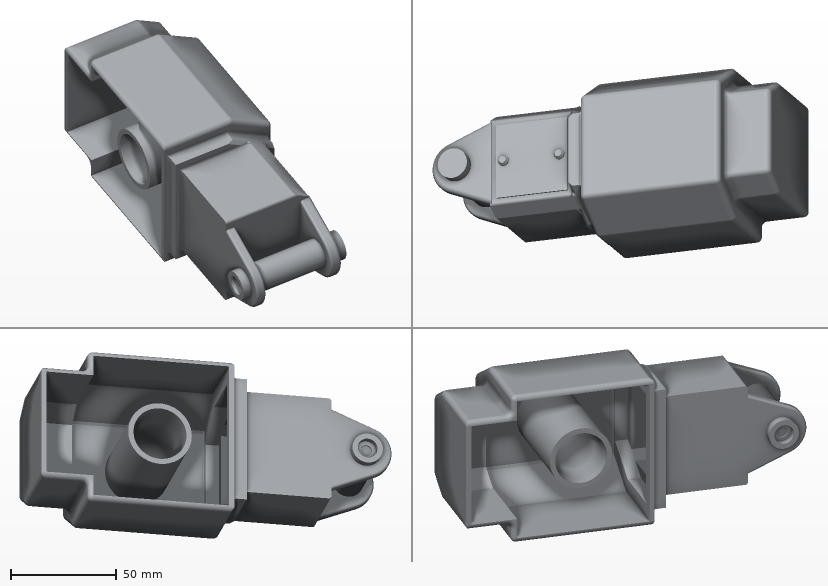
import cadquery as cq
import math

LENGTH = 171.5
WALL = 2.5
EDGE_ROUND = 2.5
SLOPE = math.radians(30)

BODY_START = 22.8
BODY_END = 93.8
COLLAR_END = 100.3
BOX_END = 142.1

HEAD_SECTION = (0.0, 51.8, 28.1, 39.0)
BODY_SECTION = (0.0, 59.5, 38.0, 37.4)
COLLAR_SECTION = (2.5, 56.7, 30.7, 34.8)
BOX_FRONT = 5.8
BOX_BACK = 51.6
BOX_HALF_HEIGHT = 25.5
BOX_SLOPE_START = COLLAR_SECTION[3] + (COLLAR_SECTION[2] - BOX_HALF_HEIGHT) / math.tan(SLOPE)
BOX_SECTION = (BOX_FRONT, BOX_BACK, BOX_HALF_HEIGHT, BOX_SLOPE_START)

COLLAR_COVE = 1.4
COLLAR_CHAMFER = 1.7
BOX_COVE = 1.2
BOX_EDGE_ROUND = 1.4
FLOOR_CHAMFER = 0.9

TUBE_X = 58.5
TUBE_FRONT = 4.0
TUBE_RADIUS = 15.5
TUBE_BORE_RADIUS = 12.9
BOWL_FLAT_RADIUS = 1.4

LUG_TIP_RADIUS = 12.7
LUG_ROOT_HALF = 20.4
LUG_ROUND = 1.2
BACK_LUG_OUTER_ROUND = 2.0
LUG_OVERLAP = 1.2
FRONT_LUG_THICKNESS = 5.0
BACK_LUG_THICKNESS = 6.0
PIN_X = LENGTH - LUG_TIP_RADIUS
PIN_FRONT = 1.5
PIN_BACK = 58.0
PIN_RADIUS = 7.4
PIN_COUNTERBORE_RADIUS = 4.8
PIN_COUNTERBORE_DEPTH = 3.5
PIN_HOLE_RADIUS = 2.7
PIN_HOLE_DEPTH = 6.9

COVER_START = 102.7
COVER_END = 138.5
COVER_HALF_HEIGHT = 18.2
COVER_THICKNESS = 1.0
COVER_BACK = BOX_BACK + COVER_THICKNESS
SCREW_STATIONS = (106.5, 134.8)
SCREW_RADIUS = 2.5
SCREW_TOP_RADIUS = 1.7
SCREW_RIM_HEIGHT = 0.9
SCREW_HEIGHT = 2.2


def inset(section, distance, open_front=False):
    """Move every side of a cross-section inward, optionally leaving the front in place."""
    front, back, half, slope_start = section
    new_front = front if open_front else front + distance
    new_slope_start = slope_start - distance * math.tan(SLOPE / 2)
    return (new_front, back - distance, half - distance, new_slope_start)


def prism(section, start, end):
    """Extrude a cross-section along X."""
    front, back, half, slope_start = section
    back_half = half - (back - slope_start) * math.tan(SLOPE)
    outline = [
        (front, -half),
        (slope_start, -half),
        (back, -back_half),
        (back, back_half),
        (slope_start, half),
        (front, half),
    ]
    return cq.Workplane("YZ", origin=(start, 0, 0)).polyline(outline).close().extrude(end - start)


def cylinder(x, start, end, radius):
    """Make a cylinder along Y, centred on Z = 0."""
    return cq.Workplane("XZ", origin=(x, start, 0)).circle(radius).extrude(start - end)


def edges_at(x, section):
    """Select the edges at one station along X that lie within a cross-section."""
    front, back, half, _ = section
    margin = 0.2
    low = (x - margin, front - margin, -half - margin)
    high = (x + margin, back + margin, half + margin)
    return cq.selectors.BoxSelector(low, high)


def block(section, start, end):
    """Rectangular bounding block of a cross-section."""
    front, back, half, _ = section
    outline = cq.Workplane("YZ", origin=(start, (front + back) / 2, 0)).rect(back - front, 2 * half)
    return outline.extrude(end - start)


def make_outer_shell():
    """Head and body with rounded edges; the two end edges of the open front stay sharp."""
    shell = prism(HEAD_SECTION, 0, BODY_END).union(prism(BODY_SECTION, BODY_START, BODY_END))
    front_end_edges = shell.faces("<Y").edges("|Z and (<X or >X)")
    kept_sharp = [edge.Center().toTuple() for edge in front_end_edges.vals()]
    rounded = [edge for edge in shell.edges().vals() if edge.Center().toTuple() not in kept_sharp]
    return shell.newObject(rounded).fillet(EDGE_ROUND)


def make_collar():
    """Collar with chamfered sloped end edges and a cove against the flat end of the body."""
    collar = prism(COLLAR_SECTION, BODY_END - WALL, COLLAR_END)
    collar = collar.faces(">X").edges("not(|Y or |Z)").chamfer(COLLAR_CHAMFER)
    collar = collar.union(prism(BODY_SECTION, BODY_END - WALL, BODY_END))
    collar = collar.edges(edges_at(BODY_END, COLLAR_SECTION)).fillet(COLLAR_COVE)
    return collar.intersect(prism(inset(BODY_SECTION, EDGE_ROUND, True), BODY_END - WALL, COLLAR_END))


def make_box():
    """Box with rounded +X and sloped edges, flared by a cove where it meets the collar."""
    box = prism(BOX_SECTION, COLLAR_END - COLLAR_CHAMFER - WALL, BOX_END)
    end_edges = box.faces(">X").edges("|Y").vals()
    slope_edges = box.edges("|X").edges("not <Y").vals()
    box = box.newObject(end_edges + slope_edges).fillet(BOX_EDGE_ROUND)
    flare = block(COLLAR_SECTION, COLLAR_END - WALL, COLLAR_END)
    flare = flare.union(block(BOX_SECTION, COLLAR_END - WALL, COLLAR_END + 2 * BOX_COVE))
    flare = flare.edges(edges_at(COLLAR_END, BOX_SECTION)).fillet(BOX_COVE)
    flare = flare.intersect(prism(COLLAR_SECTION, COLLAR_END, COLLAR_END + BOX_COVE))
    return box.union(flare)


def make_lug(front, thickness, back_round):
    """Tapered lug whose straight sides run tangent into a round tip."""
    reach = PIN_X - BOX_END
    to_root = math.pi - math.atan2(LUG_ROOT_HALF, reach)
    tangent_angle = to_root - math.acos(LUG_TIP_RADIUS / math.hypot(reach, LUG_ROOT_HALF))
    tangent_x = PIN_X + LUG_TIP_RADIUS * math.cos(tangent_angle)
    tangent_z = LUG_TIP_RADIUS * math.sin(tangent_angle)
    root_x = BOX_END - LUG_OVERLAP
    lug = (
        cq.Workplane("XZ", origin=(0, front, 0))
        .moveTo(root_x, -LUG_ROOT_HALF)
        .lineTo(BOX_END, -LUG_ROOT_HALF)
        .lineTo(tangent_x, -tangent_z)
        .threePointArc((LENGTH, 0), (tangent_x, tangent_z))
        .lineTo(BOX_END, LUG_ROOT_HALF)
        .lineTo(root_x, LUG_ROOT_HALF)
        .close()
        .extrude(-thickness)
    )
    rim = cq.selectors.BoxSelector((BOX_END + LUG_OVERLAP, -LENGTH, -LENGTH), (LENGTH, LENGTH, LENGTH))
    lug = lug.faces("<Y").edges(rim).fillet(LUG_ROUND)
    return lug.faces(">Y").edges(rim).fillet(back_round)


def make_pin():
    """Pin with a stepped blind hole in its -Y end."""
    pin = cylinder(PIN_X, PIN_FRONT, PIN_BACK, PIN_RADIUS)
    pin = pin.cut(cylinder(PIN_X, PIN_FRONT, PIN_FRONT + PIN_COUNTERBORE_DEPTH, PIN_COUNTERBORE_RADIUS))
    return pin.cut(cylinder(PIN_X, PIN_FRONT, PIN_FRONT + PIN_HOLE_DEPTH, PIN_HOLE_RADIUS))


def make_cover():
    """Flat cover plate carrying tapered screw heads."""
    middle = ((COVER_START + COVER_END) / 2, BOX_BACK, 0)
    plate = cq.Workplane("XZ", origin=middle).rect(COVER_END - COVER_START, 2 * COVER_HALF_HEIGHT)
    cover = plate.extrude(-COVER_THICKNESS)
    for x in SCREW_STATIONS:
        head = (
            cq.Workplane("XY", origin=(x, COVER_BACK, 0))
            .polyline([
                (0, 0),
                (SCREW_RADIUS, 0),
                (SCREW_RADIUS, SCREW_RIM_HEIGHT),
                (SCREW_TOP_RADIUS, SCREW_HEIGHT),
                (0, SCREW_HEIGHT),
            ])
            .close()
            .revolve(360, (0, 0), (0, 1))
        )
        cover = cover.union(head)
    return cover


def cut_cavities(solid):
    """Hollow the head, body, collar and box into one connected space."""
    body_hollow = prism(inset(BODY_SECTION, WALL, True), BODY_START + WALL, BODY_END - WALL)
    body_hollow = body_hollow.faces(">Y").edges().chamfer(FLOOR_CHAMFER)
    head_hollow = prism(inset(HEAD_SECTION, WALL, True), WALL, BODY_START + 2 * WALL)
    collar_hollow = prism(inset(COLLAR_SECTION, WALL), BODY_END - 2 * WALL, COLLAR_END - WALL)
    box_hollow = prism(inset(BOX_SECTION, WALL), COLLAR_END - 2 * WALL, BOX_END - WALL)
    for hollow in (body_hollow, head_hollow, collar_hollow, box_hollow):
        solid = solid.cut(hollow)
    return solid


def add_tube(solid):
    """Tube from the body floor with a bowl-shaped blind bore."""
    floor = BODY_SECTION[1] - WALL
    bowl_centre = floor - math.sqrt(TUBE_BORE_RADIUS**2 - BOWL_FLAT_RADIUS**2)
    mid = TUBE_BORE_RADIUS * math.sin(math.pi / 4)
    bore = (
        cq.Workplane("XY", origin=(TUBE_X, 0, 0))
        .moveTo(0, 0)
        .lineTo(TUBE_BORE_RADIUS, 0)
        .lineTo(TUBE_BORE_RADIUS, bowl_centre)
        .threePointArc((mid, bowl_centre + mid), (BOWL_FLAT_RADIUS, floor))
        .lineTo(0, floor)
        .close()
        .revolve(360, (0, 0), (0, 1))
    )
    tube = cylinder(TUBE_X, TUBE_FRONT, floor + WALL / 2, TUBE_RADIUS)
    return solid.union(tube).cut(bore)


housing = make_outer_shell().union(make_collar()).union(make_box())
housing = add_tube(cut_cavities(housing))
housing = housing.union(make_cover())
housing = housing.union(make_lug(BOX_FRONT, FRONT_LUG_THICKNESS, LUG_ROUND))
housing = housing.union(make_lug(COVER_BACK - BACK_LUG_THICKNESS, BACK_LUG_THICKNESS, BACK_LUG_OUTER_ROUND))
result = housing.union(make_pin())